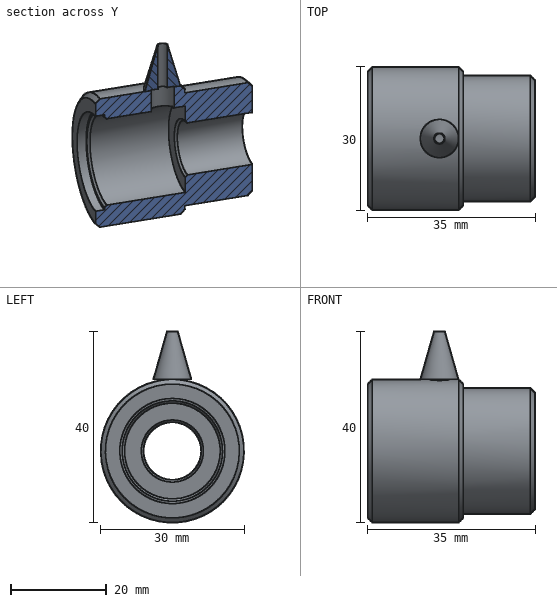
import cadquery as cq

sleeve_length = 35.0
body_length = 20.0
body_radius = 15.0
spigot_radius = 13.2
outer_chamfer = 1.0

recess_radius = 11.0
recess_depth = 2.0
bore_radius = 10.0
bore_end = body_length
passage_radius = 6.0
inner_chamfer = 0.5

feed_hole_radius = 2.5

nozzle_x = 15.0
nozzle_height = 10.0
nozzle_base_radius = 4.0
nozzle_tip_radius = 1.15
nozzle_hole_radius = 1.0


def make_sleeve():
    """Half section in the XZ plane (x along the axis, z the radius), revolved about X."""
    section = (
        cq.Workplane("XZ")
        .moveTo(0, recess_radius)
        .lineTo(0, body_radius - outer_chamfer)
        .lineTo(outer_chamfer, body_radius)
        .lineTo(body_length - outer_chamfer, body_radius)
        .lineTo(body_length, body_radius - outer_chamfer)
        .lineTo(body_length, spigot_radius)
        .lineTo(sleeve_length - outer_chamfer, spigot_radius)
        .lineTo(sleeve_length, spigot_radius - outer_chamfer)
        .lineTo(sleeve_length, passage_radius)
        .lineTo(bore_end + inner_chamfer, passage_radius)
        .lineTo(bore_end, passage_radius + inner_chamfer)
        .lineTo(bore_end, bore_radius)
        .lineTo(recess_depth + inner_chamfer, bore_radius)
        .lineTo(recess_depth, bore_radius + inner_chamfer)
        .lineTo(recess_depth, recess_radius)
        .close()
    )
    sleeve_body = section.revolve(360, (0, 0, 0), (1, 0, 0))
    return sleeve_body.cut(make_feed_hole())


def make_feed_hole():
    """Vertical cutter from the sleeve axis up through the top wall, in line with the nozzle."""
    return (
        cq.Workplane("XY")
        .center(nozzle_x, 0)
        .circle(feed_hole_radius)
        .extrude(body_radius)
    )


def make_nozzle():
    """Half section in the XZ plane, revolved about the nozzle's vertical axis."""
    base_z = body_radius
    tip_z = base_z + nozzle_height
    section = (
        cq.Workplane("XZ")
        .moveTo(nozzle_x + nozzle_hole_radius, base_z)
        .lineTo(nozzle_x + nozzle_base_radius, base_z)
        .lineTo(nozzle_x + nozzle_tip_radius, tip_z)
        .lineTo(nozzle_x + nozzle_hole_radius, tip_z)
        .close()
    )
    return section.revolve(360, (nozzle_x, 0, 0), (nozzle_x, 1, 0))


sleeve = make_sleeve()
nozzle = make_nozzle()

result = cq.Compound.makeCompound([sleeve.val(), nozzle.val()])